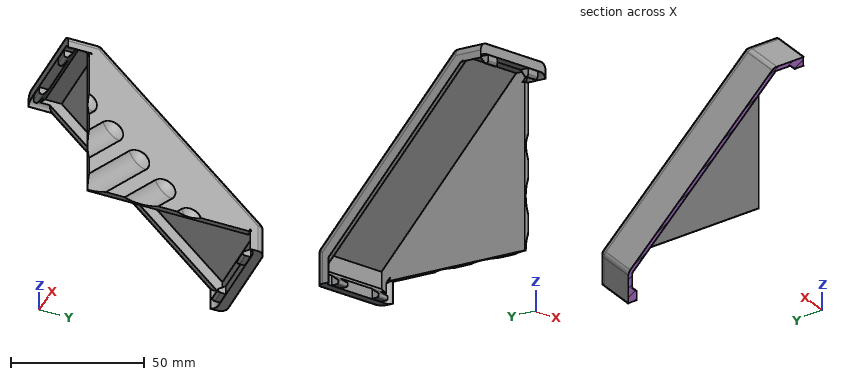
import cadquery as cq
import math

width = 38.0
size = 80.0
leg = 13.5
wall = 2.0
lip_thickness = 2 * wall
lip_length = 4.0
edge_radius = 1.5 * wall
skirt_depth = lip_thickness + wall
roof_skirt_depth = lip_thickness + edge_radius

plate_clearance = 8.5

hook_width = 5.4
hook_spacing = 23.5
hook_reach = 3.2
hook_nose_radius = 1.0
hook_setback = 0.2

grip_count = 5
grip_pitch = 15.0
grip_radius = 9.2
grip_depth = 1.4
grip_end = 16.8

half = size / 2
half_width = width / 2
inner_width = width - 2 * wall


def swap(point):
    """Mirror a (y, z) point in the symmetry plane."""
    return point[1], point[0]


def extrude_x(points, length, center=0.0):
    """Extrude a (y, z) outline along X, centred on the given X."""
    return cq.Workplane("YZ", origin=(center - length / 2, 0, 0)).polyline(points).close().extrude(length)


def roof_level(depth):
    """Value of y + z on a plane the given depth below the outer roof, where it equals leg."""
    return leg - depth * math.sqrt(2)


def roof_path(leg_depth, roof_depth):
    """Path from the bottom end to the far end, sunk into the legs and the roof."""
    face = half - leg_depth
    corner = (face, roof_level(roof_depth) - face)
    return [(face, -half), corner, swap(corner), (-half, face)]


def make_body():
    """Skirted outer body with every outer edge rounded."""
    inner_corner = (-half, -half)
    block = extrude_x(roof_path(0, 0) + [inner_corner], width)
    near = -half + wall
    outer_zone = cq.selectors.BoxSelector((-size, near, near), (size, size, size))
    bends = block.edges("|X").edges(outer_zone)
    sides = block.faces("<X or >X").edges(outer_zone)
    rounded = block.newObject(bends.vals() + sides.vals()).fillet(edge_radius)
    return rounded.cut(extrude_x(roof_path(skirt_depth, roof_skirt_depth) + [inner_corner], width))


def make_cavity():
    """Space between the skirts, stepping in over 45 degree ramps behind the lips."""
    lip_face = half - lip_thickness
    lip_end = -half + lip_length
    ramp_end = (half - wall, lip_end + lip_thickness - wall)
    skirt_edge = half - skirt_depth
    lip = [(skirt_edge, -half), (skirt_edge, lip_end), (lip_face, lip_end), ramp_end]
    path = roof_path(wall, wall)[1:3]
    mirrored_lip = [swap(point) for point in reversed(lip)]
    return extrude_x(lip + path + mirrored_lip + [(-half, -half)], inner_width)


def make_seat_space():
    """Clearance for a rounded block seated against the inside of both legs."""
    face = half - lip_thickness
    reach = face + size
    mid = (face - size) / 2
    block = cq.Workplane("XY").box(width, reach, reach).translate((0, mid, mid))
    block = block.faces(">X or <X").edges(">Y or >Z").fillet(edge_radius)
    level = roof_level(roof_skirt_depth)
    under_roof = extrude_x([(size, level - size), (level - size, size), (-size, -size)], width)
    return block.intersect(under_roof)


def make_plate():
    """Triangular side plate on the +X side, running up into the roof skirt."""
    free_edge = -half + plate_clearance
    corner = roof_path(skirt_depth, roof_skirt_depth)[1]
    outline = [
        (free_edge, free_edge), (corner[0], free_edge), corner, swap(corner), (free_edge, corner[0]),
    ]
    return extrude_x(outline, wall, half_width - wall / 2)


def make_grips():
    """Round-ended finger grooves square to the roof, in the outer face of the plate."""
    grips = cq.Workplane("XY")
    axis_x = half_width - grip_depth + grip_radius
    inward = cq.Vector(0, -math.sqrt(0.5), -math.sqrt(0.5))
    across = cq.Vector(0, -math.sqrt(0.5), math.sqrt(0.5))
    for index in range(grip_count):
        offset = (index - (grip_count - 1) / 2) * grip_pitch
        end = cq.Vector(axis_x, 0, 0) + inward * grip_end + across * offset
        groove = cq.Solid.makeCylinder(grip_radius, size, end, inward)
        ball = cq.Workplane("XY").sphere(grip_radius).translate(end)
        grips = grips.add(groove).add(ball)
    return grips.vals()


def make_hook(center):
    """Snap hook with a round nose on the lip of the vertical leg."""
    face = half - lip_thickness
    lip_end = -half + lip_length
    base = -half + hook_setback
    nose_y = face - hook_reach + hook_nose_radius
    nose_z = base + hook_nose_radius
    rise = lip_end - nose_z
    run = face - nose_y
    slope = math.atan2(rise, run) - math.asin(hook_nose_radius / math.hypot(rise, run))
    ramp_foot = (nose_y - hook_nose_radius * math.sin(slope), nose_z + hook_nose_radius * math.cos(slope))
    profile = (
        cq.Workplane("YZ", origin=(center - hook_width / 2, 0, 0))
        .moveTo(half - wall, base)
        .lineTo(half - wall, lip_end)
        .lineTo(face, lip_end)
        .lineTo(*ramp_foot)
        .threePointArc((nose_y - hook_nose_radius, nose_z), (nose_y, base))
        .close()
    )
    return profile.extrude(hook_width)


def mirror_in_symmetry_plane(shape):
    """Exchange Y and Z of a shape that is symmetric about X = 0."""
    return shape.rotate((0, 0, 0), (0, 1, 1), 180)


result = make_body().cut(make_cavity()).cut(make_seat_space()).union(make_plate())
for grip in make_grips():
    result = result.cut(cq.Workplane(obj=grip))
for side in (-1, 1):
    hook = make_hook(side * hook_spacing / 2)
    result = result.union(hook).union(mirror_in_symmetry_plane(hook))